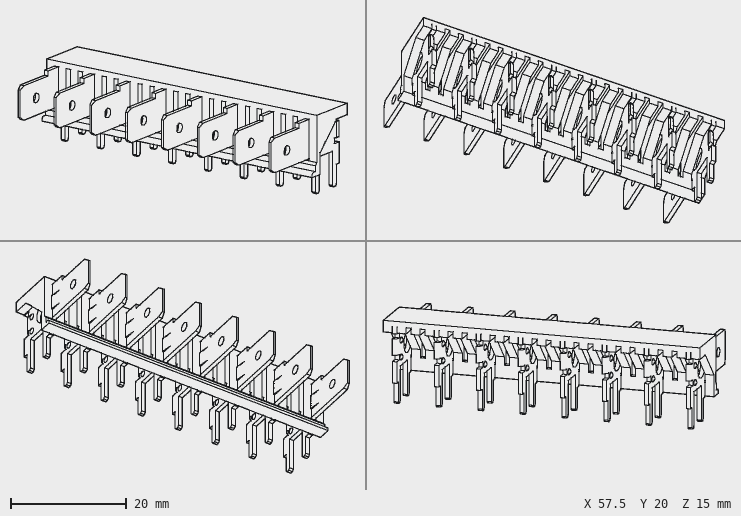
import cadquery as cq


terminal_count = 8
slots_per_terminal = 3
slot_pitch = 2.54
terminal_pitch = slots_per_terminal * slot_pitch
end_margin = 2.06
row_span = (terminal_count - 1) * terminal_pitch
housing_length = row_span + 2 * end_margin
first_terminal_x = -row_span / 2
slot_count = (terminal_count - 1) * slots_per_terminal + 1

total_height = 15.0
housing_depth = 9.0
housing_bottom = 4.1
front_wall = 1.0
rear_lip_bottom = 12.9
slope_bottom = 8.0
wall_back = housing_depth - front_wall
slope_top_depth = wall_back - (rear_lip_bottom - slope_bottom)
rail_depth = 9.4
rail_top = 6.5
rail_slope_drop = 0.5
foot_depth = 10.4
foot_top = 4.95
foot_radius = 0.5
slot_width = 0.9
slot_bottom = rail_top
slot_top = total_height - 1.0

thickness = 0.8
blade_end = 20.0
blade_top = 13.1
blade_bottom = 6.85
shoulder_end = 12.0
hook_bottom = 12.75
notch_depth = 1.4
notch_bottom = 7.75
base_depth = wall_back
base_bottom = 3.9
arch_top = 6.5
leg_spacing = 5.08
leg_width = 1.15
rear_leg_center = 1.42
leg_center_depths = (rear_leg_center, rear_leg_center + leg_spacing)
leg_tip_height = 0.35
leg_tip_inset = 0.3
tip_length = 0.9
tip_corner = 0.65
tip_thickness = 0.4

blade_hole_diameter = 1.65
blade_hole_depth = 15.5
blade_hole_z = (blade_top + blade_bottom) / 2
body_hole_diameter = 4.0
body_hole_depth = 6.0
body_hole_z = 9.9

dimple_radius = 0.55
dimple_height = 0.3
dimple_depth = 2.43
dimple_heights = (8.0, 11.05)
stop_front = 11.1
stop_bottom = 8.6
stop_top = 11.4
stop_rise = 0.25
bent_tab_back = 0.3
bent_tab_bottom = 8.75
bent_tab_top = 11.7
bend_start = 1.25
bend_outer_radius = bend_start - bent_tab_back
bend_inner_radius = bend_outer_radius - thickness


def side_plate(outline, width):
    """Extrude an outline of (distance from rear face, height) points, centred on X = 0."""
    points = [(-depth, z) for depth, z in outline]
    return cq.Workplane("YZ").polyline(points).close().extrude(width / 2, both=True)


def cross_pin(diameter, depth, z):
    """Cylinder along X that reaches through a terminal plate."""
    return cq.Workplane("YZ").center(-depth, z).circle(diameter / 2).extrude(thickness, both=True)


def make_housing():
    body = side_plate(
        [
            (0, total_height),
            (housing_depth, total_height),
            (housing_depth, rail_top),
            (rail_depth, rail_top - rail_slope_drop),
            (rail_depth, foot_top),
            (foot_depth, foot_top),
            (foot_depth, housing_bottom),
            (wall_back, housing_bottom),
            (wall_back, slope_bottom),
            (slope_top_depth, rear_lip_bottom),
            (0, rear_lip_bottom),
        ],
        housing_length,
    )
    foot_edge = cq.selectors.NearestToPointSelector((0, -foot_depth, foot_top))
    body = body.edges(foot_edge).fillet(foot_radius)
    slot = side_plate(
        [(0, slot_bottom), (housing_depth, slot_bottom), (housing_depth, slot_top), (0, slot_top)],
        slot_width,
    )
    for index in range(slot_count):
        body = body.cut(slot.translate((first_terminal_x + index * slot_pitch, 0, 0)))
    return body


def make_leg(center_depth):
    """Solder leg whose tip tapers across its width."""
    rear = center_depth - leg_width / 2
    front = center_depth + leg_width / 2
    return side_plate(
        [
            (rear, arch_top),
            (front, arch_top),
            (front, leg_tip_height),
            (front - leg_tip_inset, 0),
            (rear + leg_tip_inset, 0),
            (rear, leg_tip_height),
        ],
        thickness,
    )


def make_plate():
    """Flat terminal outline with its blade, both holes and the bevelled blade tip."""
    arch_rear = leg_center_depths[0] + leg_width / 2
    arch_front = leg_center_depths[1] - leg_width / 2
    plate = side_plate(
        [
            (0, slot_top),
            (shoulder_end, slot_top),
            (shoulder_end, blade_top),
            (blade_end - tip_length, blade_top),
            (blade_end, blade_top - tip_corner),
            (blade_end, blade_bottom + tip_corner),
            (blade_end - tip_length, blade_bottom),
            (base_depth, blade_bottom),
            (base_depth, base_bottom),
            (arch_front, base_bottom),
            (arch_front, arch_top),
            (arch_rear, arch_top),
            (arch_rear, base_bottom),
            (0, base_bottom),
            (0, notch_bottom),
            (notch_depth, notch_bottom),
            (notch_depth, hook_bottom),
            (0, hook_bottom),
        ],
        thickness,
    )
    plate = plate.cut(cross_pin(blade_hole_diameter, blade_hole_depth, blade_hole_z))
    plate = plate.cut(cross_pin(body_hole_diameter, body_hole_depth, body_hole_z))

    for side in (-1, 1):
        bevel = (
            cq.Workplane("XY")
            .moveTo(side * thickness / 2, -(blade_end - tip_length))
            .lineTo(side * thickness / 2, -blade_end)
            .lineTo(side * tip_thickness / 2, -blade_end)
            .close()
            .extrude(total_height)
        )
        plate = plate.cut(bevel)
    return plate


def make_dimple(z):
    """Spherical cap standing out on the -X face."""
    face_x = -thickness / 2
    sphere_radius = (dimple_radius**2 + dimple_height**2) / (2 * dimple_height)
    return (
        cq.Workplane("XY", origin=(0, -dimple_depth, z))
        .lineTo(0, dimple_radius)
        .lineTo(face_x, dimple_radius)
        .radiusArc((face_x - dimple_height, 0), -sphere_radius)
        .close()
        .revolve(360, (0, 0), (1, 0))
    )


def make_stop():
    """Wedge-shaped tongue that rises from the -X face towards the housing."""
    face_x = -thickness / 2
    return (
        cq.Workplane("XY", origin=(0, 0, stop_bottom))
        .moveTo(0, -stop_front)
        .lineTo(face_x, -stop_front)
        .lineTo(face_x - stop_rise, -housing_depth)
        .lineTo(0, -housing_depth)
        .close()
        .extrude(stop_top - stop_bottom)
    )


def make_bent_tab():
    """Tab that leaves the rear notch and bends a quarter turn towards +X."""
    height = bent_tab_top - bent_tab_bottom
    center_x = bend_outer_radius - thickness / 2
    bend = (
        cq.Workplane("XY", origin=(center_x, -bend_start, bent_tab_bottom))
        .circle(bend_outer_radius)
        .circle(bend_inner_radius)
        .extrude(height)
    )
    quarter = cq.Workplane("XY", origin=(center_x, -bend_start, bent_tab_bottom)).rect(
        -bend_outer_radius, bend_outer_radius, centered=False
    )
    root = (
        cq.Workplane("XY", origin=(-thickness / 2, -notch_depth, bent_tab_bottom))
        .rect(thickness, notch_depth - bend_start, centered=False)
        .extrude(height)
    )
    return bend.intersect(quarter.extrude(height)).union(root)


def make_terminal():
    terminal = make_plate()
    for depth in leg_center_depths:
        terminal = terminal.union(make_leg(depth))
    for z in dimple_heights:
        terminal = terminal.union(make_dimple(z))
    return terminal.union(make_stop()).union(make_bent_tab())


terminal = make_terminal()
result = make_housing()
for index in range(terminal_count):
    result = result.union(terminal.translate((first_terminal_x + index * terminal_pitch, 0, 0)))